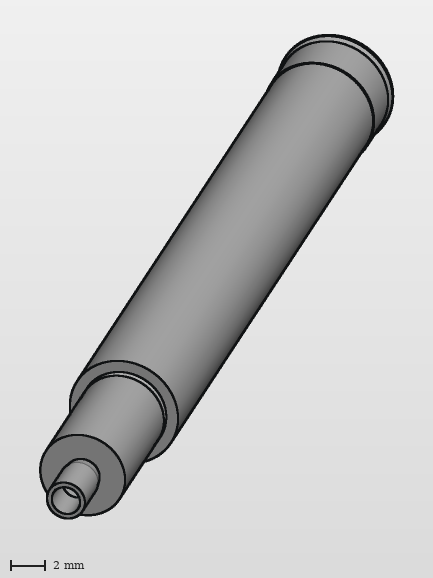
import cadquery as cq
import math

rim_diameter = 6.9
body_diameter = 6.5
collar_diameter = 6.6
plunger_diameter = 5.1
neck_diameter = 4.45
tip_diameter = 2.3
tip_root_diameter = 2.05
socket_diameter = 1.7

total_length = 58.55
rim_thickness = 0.2
rim_taper_length = 0.4
collar_length = 3.05
body_length = 42.35
neck_taper_length = 0.35
neck_land_length = 0.2
plunger_length = 8.45
tip_taper_length = 0.75

socket_depth = 2.35
drill_point_angle = 118

rear_y = total_length / 2
rim_y = rear_y - rim_thickness
rim_taper_y = rim_y - rim_taper_length
collar_y = rim_taper_y - collar_length
body_y = collar_y - body_length
neck_taper_y = body_y - neck_taper_length
neck_y = neck_taper_y - neck_land_length
plunger_y = neck_y - plunger_length
tip_taper_y = plunger_y - tip_taper_length
front_y = rear_y - total_length


def revolve_about_y(outline):
    """Turn a closed half outline of (radius, y) points about the Y axis."""
    return cq.Workplane("XY").polyline(outline).close().revolve(360, (0, 0), (0, 1))


def build_outside():
    """Turned outside of the rim, collar, body, neck, plunger and tip."""
    profile = [
        (rim_diameter, rear_y),
        (rim_diameter, rim_y),
        (collar_diameter, rim_taper_y),
        (collar_diameter, collar_y),
        (body_diameter, collar_y),
        (body_diameter, body_y),
        (plunger_diameter, body_y),
        (neck_diameter, neck_taper_y),
        (neck_diameter, neck_y),
        (plunger_diameter, neck_y),
        (plunger_diameter, plunger_y),
        (tip_root_diameter, plunger_y),
        (tip_diameter, tip_taper_y),
        (tip_diameter, front_y),
    ]
    outline = [(0, rear_y)]
    for diameter, y in profile:
        outline.append((diameter / 2, y))
    outline.append((0, front_y))
    return revolve_about_y(outline)


def build_socket():
    """Round blind hole opening at the front, ending in a cone."""
    radius = socket_diameter / 2
    point_length = radius / math.tan(math.radians(drill_point_angle / 2))
    outline = [
        (0, front_y),
        (radius, front_y),
        (radius, front_y + socket_depth),
        (0, front_y + socket_depth + point_length),
    ]
    return revolve_about_y(outline)


result = build_outside().cut(build_socket())